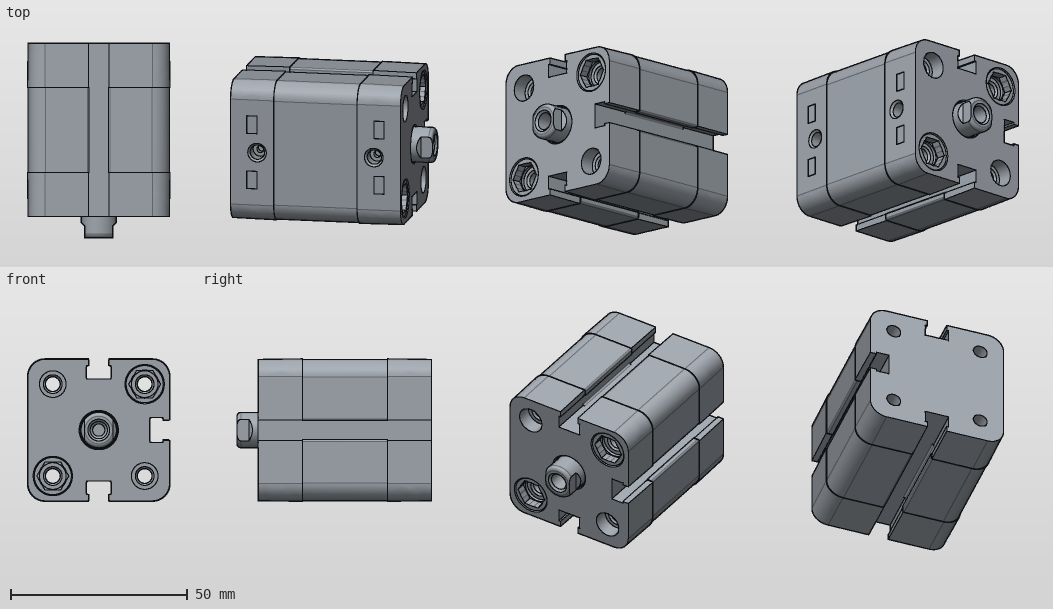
import cadquery as cq
import math


body_length = 49.0
cap_length = 12.5
tube_length = body_length - 2 * cap_length
tube_width = 40.0
cap_inner_width = 40.3
cap_end_width = 40.0
cap_taper = math.degrees(math.atan((cap_inner_width - cap_end_width) / 2 / cap_length))
corner_radius = 5.0
cap_end_corner_radius = corner_radius - (cap_inner_width - cap_end_width) / 2

slot_angles = (0, 90, 180)
slot_floor_depth = 5.55
slot_lip_depth = 1.8
slot_cavity_width = 7.0
slot_cavity_radius = 0.5
cap_slot_neck = 5.85
tube_slot_neck = 5.4
tube_slot_lip_radius = 0.5
slot_overrun = 1.1

rod_diameter = 10.0
overall_length = 55
rod_length = overall_length - body_length
rod_tip_radius = 1.1
rod_flat_width = 8.0
rod_flat_length = 3.35
rod_thread_mouth = 6.15
rod_thread_diameter = 4.9
rod_thread_depth = 9.9
rod_thread_end_diameter = 3.45
rod_gap_diameter = 10.5
rod_gap_mouth = 11.1
rod_gap_depth = 1.1

mount_offset = 13.0
mount_hole_diameter = 4.1
mount_hole_mouth = 5.3
mount_bore_diameter = 7.55
mount_bore_depth = 4.5
hex_corner_diameter = 9.0
hex_relief_diameter = 8.0
hex_depth = 3.0
hex_bore_depth = 4.0
bushing_diameter = 10.5
bushing_seat_diameter = 11.1

port_end_distance = 7.65
port_mouth_diameter = 5.5
port_diameter = 4.1
port_depth = 4.95
port_channel_diameter = 2.0
port_channel_depth = 7.15
label_length = 2.9
label_height = 5.05
label_end_distance = 6.15
label_offset = 8.0
label_depth = 0.1


def plane_at(y):
    """Section plane facing +Y, with local x along -X and local y along +Z."""
    return cq.Workplane(cq.Plane((0, y, 0), (-1, 0, 0), (0, 1, 0)))


def disc(diameter, start, length, x=0, z=0):
    return plane_at(start).center(-x, z).circle(diameter / 2).extrude(length)


def cone(start_diameter, end_diameter, start, length, x=0, z=0):
    solid = cq.Solid.makeCone(
        start_diameter / 2, end_diameter / 2, length, cq.Vector(x, start, z), cq.Vector(0, 1, 0)
    )
    return cq.Workplane(solid)


def countersink(mouth, hole, start, x=0, z=0):
    """45 degree cone from the mouth diameter down to the hole diameter."""
    return cone(mouth, hole, start, (mouth - hole) / 2, x, z)


def slot_block(width, bottom, top, start, length):
    """Box across the +Z side, between two heights."""
    return plane_at(start).center(0, (bottom + top) / 2).rect(width, top - bottom).extrude(length)


def cut_slots(body, cutter):
    for angle in slot_angles:
        body = body.cut(cutter.rotate((0, 0, 0), (0, 1, 0), angle))
    return body


def slot_cutters(neck_width, start, length):
    """Cavity and neck of the T-slot on the +Z side."""
    side = tube_width / 2
    floor = side - slot_floor_depth
    lip = side - slot_lip_depth
    cavity = slot_block(slot_cavity_width, floor, lip, start, length)
    return cavity, slot_block(neck_width, floor, side + slot_overrun, start, length)


def make_cap():
    cavity, neck = slot_cutters(cap_slot_neck, 0, cap_length)
    end_face = cq.Sketch().rect(cap_end_width, cap_end_width).vertices().fillet(cap_end_corner_radius)
    cap = plane_at(0).placeSketch(end_face).extrude(cap_length, taper=-cap_taper)
    return cut_slots(cap, cavity.union(neck))


def make_tube():
    cavity, neck = slot_cutters(tube_slot_neck, cap_length, tube_length)
    cavity = cavity.edges("|Y").fillet(slot_cavity_radius)
    side = tube_width / 2
    mouth_width = tube_slot_neck + 2 * tube_slot_lip_radius
    lip_centre = side - tube_slot_lip_radius
    mouth = slot_block(mouth_width, lip_centre, side, cap_length, tube_length)
    for x in (-mouth_width / 2, mouth_width / 2):
        mouth = mouth.cut(disc(2 * tube_slot_lip_radius, cap_length, tube_length, x, lip_centre))
    tube = plane_at(cap_length).rect(tube_width, tube_width).extrude(tube_length)
    tube = tube.edges("|Y").fillet(corner_radius)
    return cut_slots(tube, cavity.union(neck).union(mouth))


def make_housing():
    front_cap = make_cap()
    rear_cap = front_cap.mirror("XZ", (0, body_length / 2, 0))
    return front_cap.union(make_tube()).union(rear_cap)


def make_rod():
    root = rod_gap_depth
    tip = -rod_length
    rod = disc(rod_diameter, tip, rod_length + root).faces("<Y").edges().fillet(rod_tip_radius)
    flat = rod_flat_width / 2
    runout = rod_diameter / 2 - flat
    flat_end = tip + rod_flat_length
    flat_cutter = (
        cq.Workplane("XY")
        .moveTo(flat, tip)
        .lineTo(flat, flat_end)
        .lineTo(flat + runout, flat_end + runout)
        .lineTo(flat + runout, tip)
        .close()
        .extrude(rod_diameter / 2, both=True)
    )
    return rod.cut(flat_cutter).cut(flat_cutter.mirror("YZ"))


def cut_rod_thread(body):
    """Blind threaded hole in the rod tip, with a conical end."""
    tip = -rod_length
    cone_length = (rod_thread_diameter - rod_thread_end_diameter) / 2
    body = body.cut(countersink(rod_thread_mouth, rod_thread_diameter, tip))
    body = body.cut(disc(rod_thread_diameter, tip, rod_thread_depth))
    thread_end = tip + rod_thread_depth
    return body.cut(cone(rod_thread_diameter, rod_thread_end_diameter, thread_end, cone_length))


def cut_rod_opening(body):
    """Opening in the front face that leaves a narrow gap around the rod."""
    body = body.cut(countersink(rod_gap_mouth, rod_gap_diameter, 0))
    return body.cut(disc(rod_gap_diameter, 0, rod_gap_depth))


def cut_mounting_hole(body, bore_depth, x, z):
    """Through hole with a counterbore from the front face."""
    body = body.cut(disc(mount_bore_diameter, 0, bore_depth, x, z))
    body = body.cut(countersink(mount_hole_mouth, mount_hole_diameter, bore_depth, x, z))
    return body.cut(disc(mount_hole_diameter, 0, body_length, x, z))


def cut_hex_socket(body, x, z):
    """Hexagon socket in a bushing whose face sits a little below the front face."""
    hexagon = plane_at(0).center(-x, z).polygon(6, hex_corner_diameter).extrude(hex_depth)
    body = body.cut(countersink(bushing_seat_diameter, bushing_diameter, 0, x, z))
    return body.cut(hexagon).cut(disc(hex_relief_diameter, 0, hex_depth, x, z))


def cut_port(body, y):
    """Stepped blind port on the -X side with a 45 degree countersunk mouth."""
    face = cq.Workplane("YZ", origin=(-cap_inner_width / 2, y, 0))
    mouth = cq.Solid.makeCone(
        port_mouth_diameter / 2,
        port_diameter / 2,
        (port_mouth_diameter - port_diameter) / 2,
        cq.Vector(-cap_inner_width / 2, y, 0),
        cq.Vector(1, 0, 0),
    )
    body = body.cut(cq.Workplane(mouth))
    body = body.cut(face.circle(port_diameter / 2).extrude(port_depth))
    return body.cut(face.circle(port_channel_diameter / 2).extrude(port_channel_depth))


def cut_label(body, y, z):
    """Shallow rectangular recess on the -X side, measured from the tube face."""
    floor = tube_width / 2 - label_depth
    depth = cap_inner_width / 2 - floor
    recess = cq.Workplane("XY").box(depth, label_length, label_height)
    return body.cut(recess.translate((-floor - depth / 2, y, z)))


housing = cut_rod_opening(make_housing())
result = cut_rod_thread(housing.union(make_rod()))

for x in (-mount_offset, mount_offset):
    for z in (-mount_offset, mount_offset):
        if x == z:
            result = cut_mounting_hole(result, hex_bore_depth, x, z)
            result = cut_hex_socket(result, x, z)
        else:
            result = cut_mounting_hole(result, mount_bore_depth, x, z)

for port_y in (port_end_distance, body_length - port_end_distance):
    result = cut_port(result, port_y)

for label_y in (label_end_distance, body_length - label_end_distance):
    for label_z in (-label_offset, label_offset):
        result = cut_label(result, label_y, label_z)